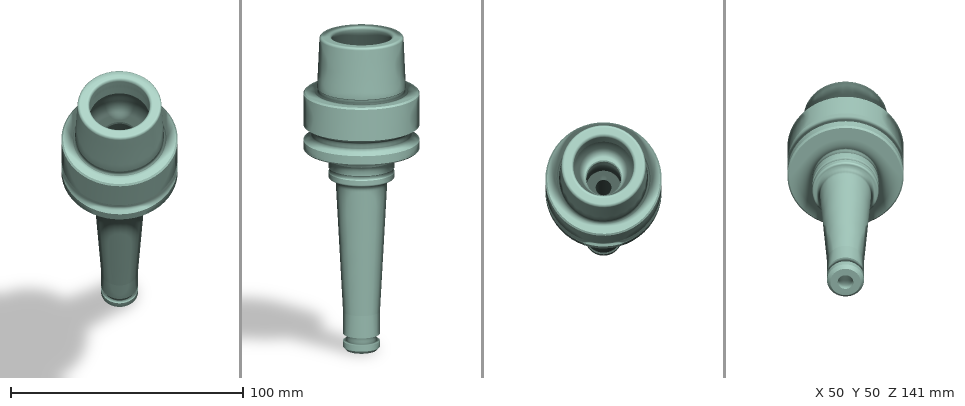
import cadquery as cq
import math

length = 141.0

shank_top_diameter = 36.1
shank_base_diameter = 38.2
shank_edge_round = 1.1
shank_base_z = 118.0

relief_diameter = 37.5
relief_outer_diameter = 40.3
relief_floor_depth = 0.3
relief_rim_slope_width = 0.4
relief_fillet = 0.7

flange_diameter = 50.0
flange_top_z = 116.0
flange_bottom_z = 90.0
flange_chamfer = 0.7
gripper_diameter = 43.0
gripper_top_z = 101.2
gripper_bottom_z = 94.5
gripper_flank_angle = 30.0
gripper_corner_fillet = 0.5

neck_diameter = 28.5
neck_relief_diameter = 27.9
neck_relief_height = 0.8
neck_bottom_z = 77.3
neck_edge_round = 0.8
ring_groove_tops_z = (88.1, 82.2)
ring_groove_width = 2.1
ring_groove_flank_height = 0.3
ring_groove_flank_depth = 0.35
ring_groove_sagitta = 0.21

stem_top_diameter = 22.1
stem_taper_end_z = 17.3

tip_diameter = 16.0
tip_groove_diameter = 13.0
tip_groove_top_z = 7.3
tip_groove_bottom_z = 4.1
tip_chamfer = 1.4

mouth_diameter = 26.0
mouth_round = 1.3
mouth_bottom_z = 130.8
chamber_diameter = 32.0
chamber_floor_z = 116.6
chamber_floor_fillet = 4.2
pocket_diameter = 15.0
pocket_chamfer = 0.5
pocket_floor_z = 98.7
coolant_diameter = 6.8


def add_round(profile, before, corner, after, radius):
    """Draw up to the corner between two straight stretches and round it with a tangent arc."""
    corner_point = cq.Vector(*corner)
    to_before = (cq.Vector(*before) - corner_point).normalized()
    to_after = (cq.Vector(*after) - corner_point).normalized()
    half_angle = to_before.getAngle(to_after) / 2
    tangent_length = radius / math.tan(half_angle)
    start = corner_point + to_before * tangent_length
    end = corner_point + to_after * tangent_length
    bisector = (to_before + to_after).normalized()
    middle = corner_point + bisector * (radius / math.sin(half_angle) - radius)
    return (
        profile.lineTo(start.x, start.y)
        .threePointArc((middle.x, middle.y), (end.x, end.y))
    )


def add_shank(profile):
    top_edge = (shank_top_diameter / 2, length)
    base_edge = (shank_base_diameter / 2, shank_base_z)
    profile = add_round(profile, (0, length), top_edge, base_edge, shank_edge_round)
    return profile.lineTo(*base_edge)


def add_relief(profile):
    """Groove that undercuts both the shank and the flange face."""
    wall_radius = relief_diameter / 2
    outer_radius = relief_outer_diameter / 2
    floor_z = flange_top_z - relief_floor_depth
    slope_height = shank_base_diameter / 2 - wall_radius
    wall_top = (wall_radius, shank_base_z - slope_height)
    floor_end = (outer_radius - relief_rim_slope_width, floor_z)
    profile = profile.lineTo(*wall_top)
    profile = add_round(profile, wall_top, (wall_radius, floor_z), floor_end, relief_fillet)
    return profile.lineTo(*floor_end).lineTo(outer_radius, flange_top_z)


def add_flange(profile):
    radius = flange_diameter / 2
    groove_radius = gripper_diameter / 2
    flank_height = (radius - groove_radius) * math.tan(math.radians(gripper_flank_angle))
    upper_rim = (radius, gripper_top_z)
    upper_corner = (groove_radius, gripper_top_z - flank_height)
    lower_corner = (groove_radius, gripper_bottom_z + flank_height)
    lower_rim = (radius, gripper_bottom_z)
    profile = (
        profile.lineTo(radius - flange_chamfer, flange_top_z)
        .lineTo(radius, flange_top_z - flange_chamfer)
        .lineTo(*upper_rim)
    )
    profile = add_round(profile, upper_rim, upper_corner, lower_corner, gripper_corner_fillet)
    profile = add_round(profile, upper_corner, lower_corner, lower_rim, gripper_corner_fillet)
    return (
        profile.lineTo(*lower_rim)
        .lineTo(radius, flange_bottom_z + flange_chamfer)
        .lineTo(radius - flange_chamfer, flange_bottom_z)
    )


def add_ring_groove(profile, top_z):
    """Shallow groove with sloping flanks and a concave floor, cut into the neck."""
    outer_radius = neck_diameter / 2
    inner_radius = outer_radius - ring_groove_flank_depth
    bottom_z = top_z - ring_groove_width
    floor_middle = (inner_radius - ring_groove_sagitta, (top_z + bottom_z) / 2)
    return (
        profile.lineTo(outer_radius, top_z)
        .lineTo(inner_radius, top_z - ring_groove_flank_height)
        .threePointArc(floor_middle, (inner_radius, bottom_z + ring_groove_flank_height))
        .lineTo(outer_radius, bottom_z)
    )


def add_neck(profile):
    radius = neck_diameter / 2
    relief_bottom_z = flange_bottom_z - neck_relief_height
    profile = (
        profile.lineTo(neck_relief_diameter / 2, flange_bottom_z)
        .lineTo(neck_relief_diameter / 2, relief_bottom_z)
        .lineTo(radius, relief_bottom_z)
    )
    for top_z in ring_groove_tops_z:
        profile = add_ring_groove(profile, top_z)
    return add_round(
        profile, (radius, flange_bottom_z), (radius, neck_bottom_z), (0, neck_bottom_z), neck_edge_round
    )


def add_stem(profile):
    """Concave fillet that continues the neck's rounded edge, then the long taper."""
    radius = stem_top_diameter / 2
    fillet_radius = neck_diameter / 2 - neck_edge_round - radius
    fillet_middle = (
        radius + fillet_radius * (1 - math.sqrt(0.5)),
        neck_bottom_z - fillet_radius * (1 - math.sqrt(0.5)),
    )
    fillet_end = (radius, neck_bottom_z - fillet_radius)
    return (
        profile.threePointArc(fillet_middle, fillet_end)
        .lineTo(tip_diameter / 2, stem_taper_end_z)
    )


def add_tip(profile):
    radius = tip_diameter / 2
    return (
        profile.lineTo(radius, tip_groove_top_z)
        .lineTo(tip_groove_diameter / 2, tip_groove_top_z)
        .lineTo(tip_groove_diameter / 2, tip_groove_bottom_z)
        .lineTo(radius, tip_groove_bottom_z)
        .lineTo(radius, tip_chamfer)
        .lineTo(radius - tip_chamfer, 0)
    )


def make_body():
    profile = cq.Workplane("XZ").moveTo(0, length)
    for add_section in (add_shank, add_relief, add_flange, add_neck, add_stem, add_tip):
        profile = add_section(profile)
    return profile.lineTo(0, 0).close().revolve(360, (0, 0, 0), (0, 1, 0))


def make_bore():
    coolant_radius = coolant_diameter / 2
    pocket_radius = pocket_diameter / 2
    chamber_radius = chamber_diameter / 2
    mouth_radius = mouth_diameter / 2
    profile = (
        cq.Workplane("XZ")
        .lineTo(coolant_radius, 0)
        .lineTo(coolant_radius, pocket_floor_z)
        .lineTo(pocket_radius, pocket_floor_z)
        .lineTo(pocket_radius, chamber_floor_z - pocket_chamfer)
        .lineTo(pocket_radius + pocket_chamfer, chamber_floor_z)
    )
    floor_corner = (chamber_radius, chamber_floor_z)
    chamber_top = (chamber_radius, mouth_bottom_z)
    profile = add_round(profile, (0, chamber_floor_z), floor_corner, chamber_top, chamber_floor_fillet)
    mouth_bottom = (mouth_radius, mouth_bottom_z)
    mouth_top = (mouth_radius, length)
    profile = profile.lineTo(*chamber_top).lineTo(*mouth_bottom)
    profile = add_round(profile, mouth_bottom, mouth_top, (chamber_radius, length), mouth_round)
    return profile.lineTo(0, length).close().revolve(360, (0, 0, 0), (0, 1, 0))


result = make_body().cut(make_bore())